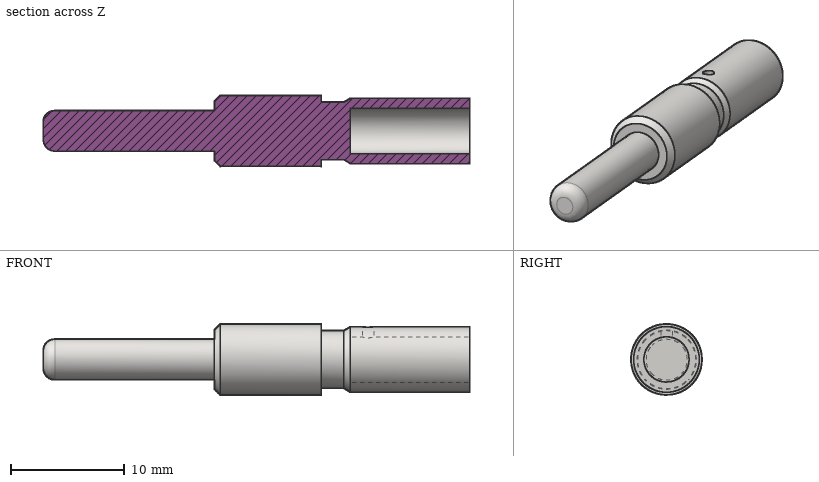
import cadquery as cq

total_length = 37.65
collar_start = 15.1
collar_end = 24.55
barrel_start = 26.55
hole_center = 28.65

pin_diameter = 3.6
collar_diameter = 6.3
neck_diameter = 5.12
barrel_diameter = 5.8
hole_diameter = 1.0

tip_fillet = 1.0
collar_chamfer = 0.53
barrel_chamfer_length = 0.55
barrel_chamfer_depth = (barrel_diameter - neck_diameter) / 2

bore_diameter = 4.0
bore_start = barrel_start + barrel_chamfer_length


def cylinder(start, end, diameter):
    """Cylinder along the X axis between two stations."""
    return cq.Workplane("YZ", origin=(start, 0, 0)).circle(diameter / 2).extrude(end - start)


def make_pin():
    pin = cylinder(0, collar_start, pin_diameter)
    return pin.faces("<X").edges().fillet(tip_fillet)


def make_collar():
    collar = cylinder(collar_start, collar_end, collar_diameter)
    return collar.faces("<X").edges().chamfer(collar_chamfer)


def make_barrel():
    barrel = cylinder(barrel_start, total_length, barrel_diameter)
    return barrel.faces("<X").edges().chamfer(barrel_chamfer_length, barrel_chamfer_depth)


def make_sight_hole():
    """Radial hole from the top of the barrel into the bore."""
    top = cq.Workplane("XY", origin=(hole_center, 0, barrel_diameter / 2))
    return top.circle(hole_diameter / 2).extrude(-barrel_diameter / 2)


neck = cylinder(collar_end, barrel_start, neck_diameter)
contact = make_pin().union(make_collar()).union(neck).union(make_barrel())
bore = cylinder(bore_start, total_length, bore_diameter)
result = contact.cut(bore).cut(make_sight_hole())